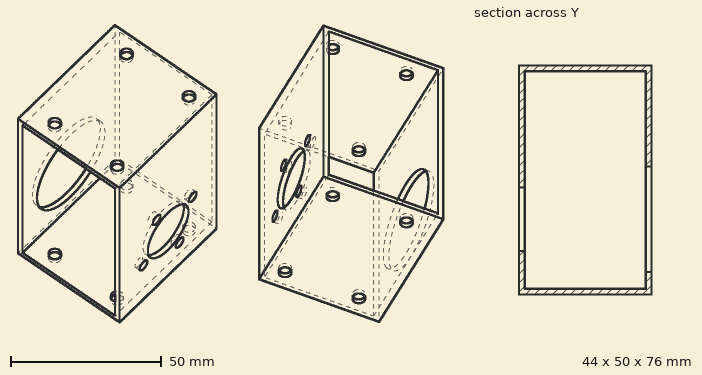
import cadquery as cq

WIDTH = 44.0
DEPTH = 50.0
HEIGHT = 76.0
WALL = 2.0

MOTOR_AXIS_HEIGHT = 25.0
CLEARANCE_DIAMETER = 35.0
PILOT_DIAMETER = 21.0

MOTOR_SCREW_COUNT = 4
MOTOR_SCREW_DIAMETER = 4.0
MOTOR_SCREW_CIRCLE_DIAMETER = 28.0
MOTOR_SCREW_START_ANGLE = 25.0

MOUNT_HOLE_DIAMETER = 4.3
MOUNT_SPACING_X = 27.0
MOUNT_SPACING_Y = 37.0
MOUNT_OFFSET_X = 2.0


def make_tube():
    """Square-cornered tube resting on Z = 0, centred in X and Y."""
    outer = cq.Workplane("XY").box(WIDTH, DEPTH, HEIGHT)
    opening = cq.Workplane("XY").box(WIDTH - 2 * WALL, DEPTH, HEIGHT - 2 * WALL)
    return outer.cut(opening).translate((0, 0, HEIGHT / 2))


def motor_plane(x):
    """Workplane facing +X at the given x, with its origin on the motor axis."""
    return cq.Workplane("YZ", origin=(x, 0, MOTOR_AXIS_HEIGHT))


def make_clearance_hole():
    """Large hole through the -X wall only."""
    return motor_plane(-WIDTH / 2).circle(CLEARANCE_DIAMETER / 2).extrude(WALL)


def make_motor_mount_holes():
    """Pilot hole and ring of screw holes through the +X wall only."""
    inner_face = WIDTH / 2 - WALL
    pilot = motor_plane(inner_face).circle(PILOT_DIAMETER / 2).extrude(WALL)
    screws = (
        motor_plane(inner_face)
        .polarArray(MOTOR_SCREW_CIRCLE_DIAMETER / 2, MOTOR_SCREW_START_ANGLE, 360, MOTOR_SCREW_COUNT)
        .circle(MOTOR_SCREW_DIAMETER / 2)
        .extrude(WALL)
    )
    return pilot.union(screws)


def make_mounting_holes():
    """Rectangular pattern of four holes through both the top and bottom walls."""
    return (
        cq.Workplane("XY", origin=(MOUNT_OFFSET_X, 0, 0))
        .rarray(MOUNT_SPACING_X, MOUNT_SPACING_Y, 2, 2)
        .circle(MOUNT_HOLE_DIAMETER / 2)
        .extrude(HEIGHT)
    )


result = (
    make_tube()
    .cut(make_clearance_hole())
    .cut(make_motor_mount_holes())
    .cut(make_mounting_holes())
)